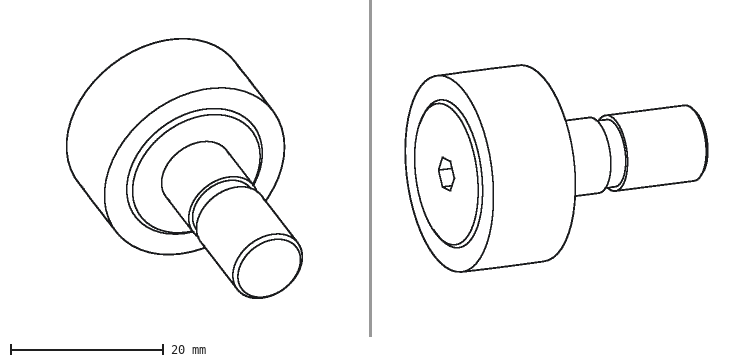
import cadquery as cq
import math

total_length = 36.0
roller_diameter = 26.0
roller_width = 12.0
roller_start = 0.45
crown_radius = 500.05

washer_diameter = 19.5
front_washer_chamfer = 0.45
rear_washer_end = 13.0
rear_washer_chamfer = rear_washer_end - roller_start - roller_width

stud_diameter = 10.0
stud_chamfer = 0.5
groove_start = 21.55
groove_width = 2.45
groove_diameter = 8.9

socket_across_flats = 4.0
socket_depth = 4.0
drill_point_angle = 120.0


def cylinder(start, end, diameter):
    return cq.Workplane("YZ", origin=(start, 0, 0)).circle(diameter / 2).extrude(end - start)


def crowned_roller():
    """Roller whose rim is an arc, highest at mid-width."""
    crest = roller_diameter / 2
    half_width = roller_width / 2
    crown_drop = crown_radius - math.sqrt(crown_radius**2 - half_width**2)
    edge = crest - crown_drop
    roller_end = roller_start + roller_width
    return (
        cq.Workplane("XY")
        .moveTo(roller_start, 0)
        .lineTo(roller_start, edge)
        .threePointArc((roller_start + half_width, crest), (roller_end, edge))
        .lineTo(roller_end, 0)
        .close()
        .revolve(360, (0, 0, 0), (1, 0, 0))
    )


def washers():
    """Washer pair, running through the roller, with both rims chamfered."""
    return (
        cylinder(0, rear_washer_end, washer_diameter)
        .faces("<X").chamfer(front_washer_chamfer)
        .faces(">X").chamfer(rear_washer_chamfer)
    )


def stud():
    """Stud with a chamfered end and a relief groove."""
    groove_end = groove_start + groove_width
    shank = cylinder(roller_start, total_length, stud_diameter).faces(">X").chamfer(stud_chamfer)
    groove = cylinder(groove_start, groove_end, stud_diameter).cut(
        cylinder(groove_start, groove_end, groove_diameter)
    )
    return shank.cut(groove)


def hex_socket():
    """Hexagon with two corners along Y, its bottom closed by a cone that reaches the corners."""
    corner_radius = socket_across_flats / 2 / math.cos(math.radians(30))
    cone_height = corner_radius / math.tan(math.radians(drill_point_angle / 2))
    tip = socket_depth + cone_height
    hexagon = cq.Workplane("YZ").polygon(6, 2 * corner_radius).extrude(tip)
    pointed_bore = (
        cq.Workplane("XY")
        .polyline([(0, 0), (0, corner_radius), (socket_depth, corner_radius), (tip, 0)])
        .close()
        .revolve(360, (0, 0, 0), (1, 0, 0))
    )
    return hexagon.intersect(pointed_bore)


result = crowned_roller().union(washers()).union(stud()).cut(hex_socket())